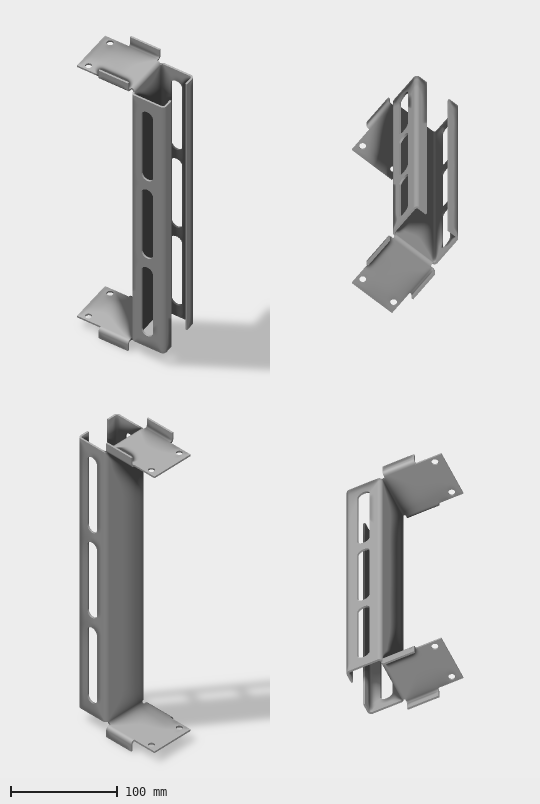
import cadquery as cq

length_x = 98.5
width_y = 56.5
height_z = 345.0

sheet = 2.0
bend_inner = sheet
bend_outer = bend_inner + sheet

channel_depth = 37.3
channel_width = 52.8
lip_length = 13.0
web_x = length_x - channel_depth
web_flat = channel_width - 2 * bend_outer

flap_height = 12.0
flap_start = 26.5
plate_inner_z = height_z / 2 - flap_height
plate_outer_z = plate_inner_z + sheet
plate_width = width_y - 2 * bend_outer
plate_bend_x = web_x + sheet - bend_outer
channel_end_z = plate_outer_z - bend_outer

hole_diameter = 6.5
hole_edge_x = 9.3
hole_spacing = 37.3

slot_length = 88.3
slot_width = 12.8
slot_pitch = 100.0
slot_x = 79.7
slot_count = 3


def make_channel():
    """C-section with inward lips and rounded bends."""
    outer = (
        cq.Workplane("XY")
        .box(channel_depth, channel_width, 2 * channel_end_z)
        .edges("|Z")
        .fillet(bend_outer)
    )
    inner = (
        cq.Workplane("XY")
        .box(channel_depth - 2 * sheet, channel_width - 2 * sheet, 2 * channel_end_z)
        .edges("|Z")
        .fillet(bend_inner)
    )
    mouth = (
        cq.Workplane("XY")
        .center(channel_depth / 2, 0)
        .rect(2 * bend_outer, channel_width - 2 * lip_length)
        .extrude(channel_end_z, both=True)
    )
    centre_x = web_x + channel_depth / 2
    return outer.cut(inner).cut(mouth).translate((centre_x, 0, 0))


def cut_slots(channel):
    """Row of slots along Z, cut through both flanges."""
    slots = (
        cq.Workplane("XZ")
        .center(slot_x, 0)
        .rarray(3.5, slot_pitch, 1, slot_count)
        .slot2D(slot_length, slot_width, 90)
        .extrude(channel_width, both=True)
    )
    return channel.cut(slots)


def make_plate_bend():
    """Quarter bend that joins the channel web to the top end plate."""
    bend_ring = (
        cq.Workplane("XZ", origin=(plate_bend_x, web_flat / 2, channel_end_z))
        .circle(bend_outer)
        .circle(bend_inner)
        .extrude(web_flat)
    )
    quarter = (
        cq.Workplane("XY")
        .box(bend_outer, web_flat, bend_outer, centered=(False, True, False))
        .translate((plate_bend_x, 0, channel_end_z))
    )
    return bend_ring.intersect(quarter)


def make_flap_section():
    """U-shaped length of the top end plate with both side flaps."""
    flap_length = plate_bend_x - flap_start
    outer = (
        cq.Workplane("XY")
        .box(flap_length, width_y, flap_height, centered=(False, True, False))
        .edges("|X and <Z")
        .fillet(bend_outer)
    )
    inner = (
        cq.Workplane("XY")
        .box(flap_length, width_y - 2 * sheet, flap_height, centered=(False, True, False))
        .edges("|X and <Z")
        .fillet(bend_inner)
        .translate((0, 0, sheet))
    )
    return outer.cut(inner).translate((flap_start, 0, plate_inner_z))


def make_top_end():
    """Top end plate with its screw holes, flaps and bend to the web."""
    plate = (
        cq.Workplane("XY")
        .box(plate_bend_x, plate_width, sheet, centered=(False, True, False))
        .faces(">Z")
        .workplane(origin=(hole_edge_x, 0, 0))
        .rarray(3.5, hole_spacing, 1, 2)
        .hole(hole_diameter)
        .translate((0, 0, plate_inner_z))
    )
    return plate.union(make_flap_section()).union(make_plate_bend())


top_end = make_top_end()
bottom_end = top_end.mirror("XY")
result = cut_slots(make_channel()).union(top_end).union(bottom_end)